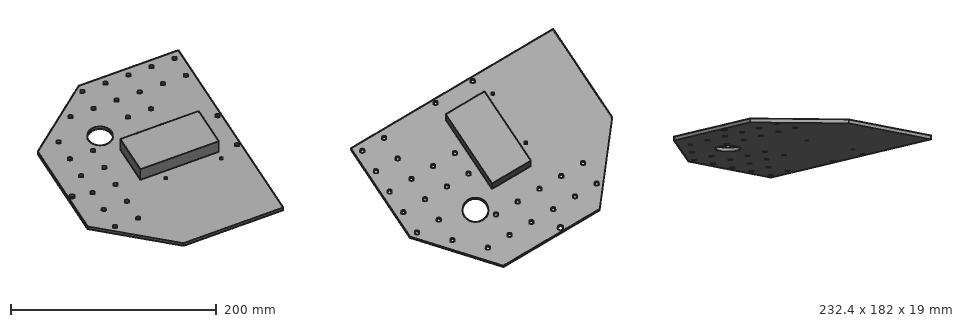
import cadquery as cq

plate_length = 232.4
plate_width = 182.0
plate_thickness = 4.0
front_edge_length = 110.5
corner_y = -17.0

total_height = 19.0
block_length = 44.6
block_width = 84.8
block_center_y = 24.6

grid_hole_diameter = 4.5
grid_left_x = -108.0
grid_back_y = 83.0
grid_length = 175.0
grid_columns = 8
grid_pitch = grid_length / (grid_columns - 1)
columns_in_row = [
    [0, 1],
    [0, 1],
    [0, 1, 2, 3],
    [0, 1, 2, 3],
    [0, 1],
    [1, 3, 4, 5, 6, 7],
    [2, 3, 4, 5, 6, 7],
]

edge_hole_inset = 4.0
back_hole_diameter = 4.5
back_hole_x = 21.4
front_hole_diameter = 5.5
front_hole_x = 12.8
pin_hole_diameter = 3.0
pin_hole_x = 31.0
pin_hole_ys = [65.5, 5.3]
large_hole_diameter = 25.0
large_hole_center = (-47.5, -27.5)


def make_plate():
    half_length = plate_length / 2
    half_width = plate_width / 2
    half_front = front_edge_length / 2
    outline = [
        (-half_length, half_width),
        (half_length, half_width),
        (half_length, corner_y),
        (half_front, -half_width),
        (-half_front, -half_width),
        (-half_length, corner_y),
    ]
    return cq.Workplane("XY").polyline(outline).close().extrude(plate_thickness)


def make_block():
    return (
        cq.Workplane("XY")
        .center(0, block_center_y)
        .rect(block_length, block_width)
        .extrude(total_height)
    )


def make_hole_cutters(diameter, centers):
    """Cylinders that pass through the plate at the given centers."""
    return cq.Workplane("XY").pushPoints(centers).circle(diameter / 2).extrude(plate_thickness)


grid_centers = [
    (grid_left_x + column * grid_pitch, grid_back_y - row * grid_pitch)
    for row, columns in enumerate(columns_in_row)
    for column in columns
]
edge_hole_y = plate_width / 2 - edge_hole_inset
back_centers = [(-back_hole_x, edge_hole_y), (back_hole_x, edge_hole_y)]
pin_centers = [(pin_hole_x, y) for y in pin_hole_ys]

hole_groups = [
    (grid_hole_diameter, grid_centers),
    (back_hole_diameter, back_centers),
    (front_hole_diameter, [(front_hole_x, -edge_hole_y)]),
    (pin_hole_diameter, pin_centers),
    (large_hole_diameter, [large_hole_center]),
]

result = make_plate().union(make_block())
for hole_diameter, hole_centers in hole_groups:
    result = result.cut(make_hole_cutters(hole_diameter, hole_centers))